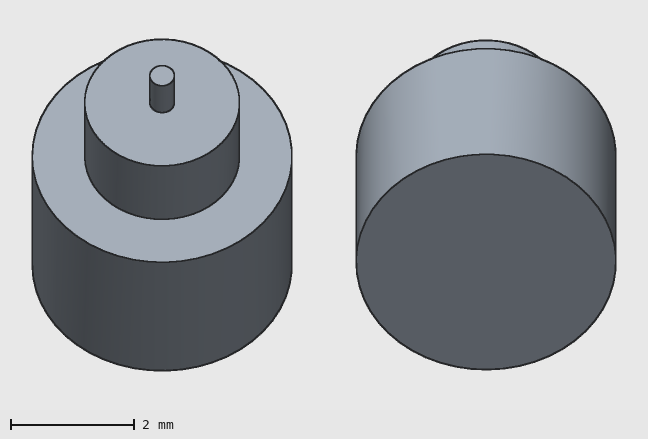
import cadquery as cq

total_height = 5.3
neck_height = 1.5
pin_height = 0.75
body_height = total_height - neck_height - pin_height

body_diameter = 4.2
neck_diameter = 2.5
pin_diameter = 0.4


def add_step(base, diameter, height):
    """Stack a concentric cylinder on the top face of the base."""
    return base.faces(">Z").workplane().circle(diameter / 2).extrude(height)


body = cq.Workplane("XY").circle(body_diameter / 2).extrude(body_height)

body_with_neck = add_step(body, neck_diameter, neck_height)
result = add_step(body_with_neck, pin_diameter, pin_height)